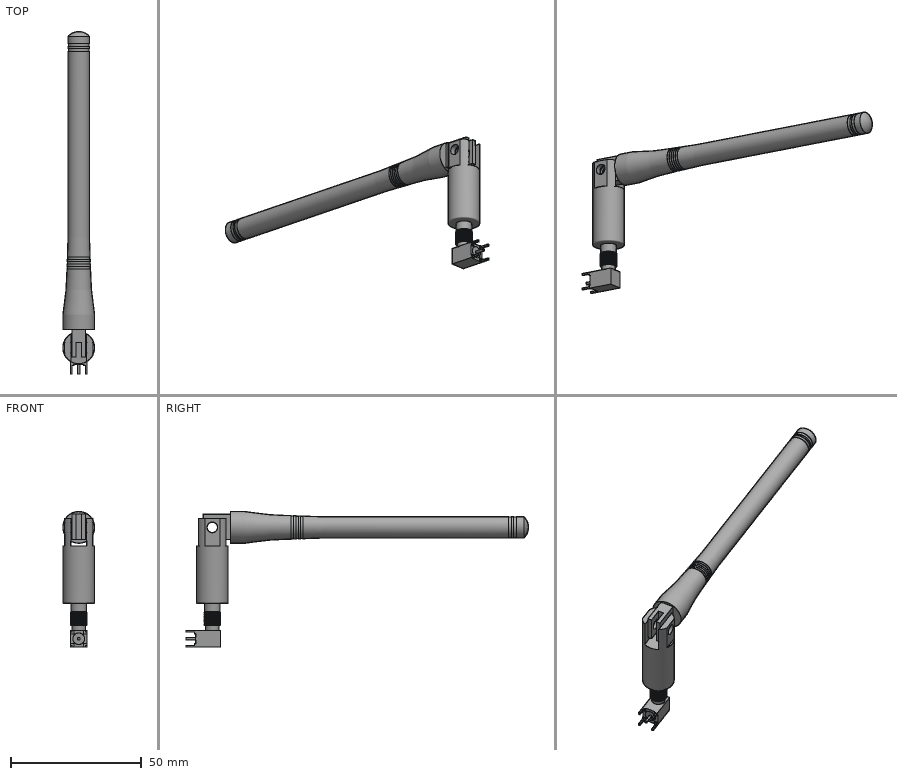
import cadquery as cq
import math


OVERALL_LENGTH = 131.0
OVERALL_HEIGHT = 51.9
BODY_DIAMETER = 12.2
BODY_RADIUS = BODY_DIAMETER / 2

PIN_REACH = 10.1
TIP_Y = OVERALL_LENGTH - PIN_REACH
DOME_START_Y = 119.1
TAPER_START_Y = 42.2
GROOVED_TAPER_END_Y = 29.1
SHALLOW_TAPER_END_Y = 22.0
COLLAR_START_Y = 12.6
COLLAR_END_Y = 7.0
ROD_DIAMETER = 8.3
ROD_RADIUS = ROD_DIAMETER / 2
GROOVED_TAPER_END_RADIUS = 4.6
SHALLOW_TAPER_END_DIAMETER = 9.8
SHALLOW_TAPER_END_RADIUS = SHALLOW_TAPER_END_DIAMETER / 2

GROOVE_DEPTH = 0.1
TIP_GROOVE_WIDTH = 1.2
TIP_GROOVE_STARTS = (113.2, 115.2)
TAPER_GROOVE_WIDTH = 0.9
TAPER_GROOVE_STARTS = (30.1, 32.0, 33.8)

TONGUE_WIDTH = 5.2
TONGUE_TOP_Z = 5.1
TONGUE_BOTTOM_Z = -4.7
TONGUE_END_Y = -3.5
TONGUE_SLOT_WIDTH = 2.1
TONGUE_SLOT_END_Y = 2.1
HINGE_HOLE_DIAMETER = 3.9
FORK_GAP = 6.0
FORK_TOP_Z = 3.4
FORK_BOTTOM_Z = -7.1
FLAT_X = 5.4

HOUSING_BOTTOM_Z = -29.1
HOUSING_EDGE_FILLET = 0.4
NECK_RADIUS = 3.0
NECK_BOTTOM_Z = -32.2

BLOCK_SIDE = 6.4
BLOCK_BOTTOM_Z = BODY_RADIUS - OVERALL_HEIGHT
BLOCK_TOP_Z = BLOCK_BOTTOM_Z + BLOCK_SIDE
BLOCK_CENTER_Z = BLOCK_BOTTOM_Z + BLOCK_SIDE / 2
BLOCK_BACK_Y = BLOCK_SIDE / 2
FOOT_END_Y = -6.8
FOOT_HEIGHT = 0.4
FOOT_SIDE = 1.3
BLOCK_FRONT_Y = FOOT_END_Y + FOOT_HEIGHT
LEG_SIDE = 0.7
LEG_OFFSET = BLOCK_SIDE / 2 - LEG_SIDE / 2
THREAD_BOTTOM_Z = -37.5
THREAD_RADIUS = BLOCK_SIDE / 2
THREAD_DEPTH = 0.3
THREAD_COUNT = 8
STEM_RADIUS = 2.6

DISC_RADIUS = 2.2
DISC_THICKNESS = 1.3
CONTACT_PIN_RADIUS = 0.5


def box_between(x_range, y_range, z_range):
    size = [high - low for low, high in (x_range, y_range, z_range)]
    corner = (x_range[0], y_range[0], z_range[0])
    return cq.Workplane("XY").box(*size, centered=False).translate(corner)


def centered_range(width, center=0.0):
    return (center - width / 2, center + width / 2)


def cylinder_z(radius, bottom, top):
    return cq.Workplane("XY").workplane(offset=bottom).circle(radius).extrude(top - bottom)


def cylinder_toward_minus_y(radius, start_y, end_y, center_z):
    """Cylinder along Y from start_y down to end_y."""
    plane = cq.Workplane("XZ", origin=(0, start_y, center_z))
    return plane.circle(radius).extrude(start_y - end_y)


def hinge_hole():
    return cq.Workplane("YZ").circle(HINGE_HOLE_DIAMETER / 2).extrude(BODY_RADIUS, both=True)


def taper_radius(y):
    """Radius of the grooved taper at distance y from the hinge axis."""
    fraction = (TAPER_START_Y - y) / (TAPER_START_Y - GROOVED_TAPER_END_Y)
    return ROD_RADIUS + fraction * (GROOVED_TAPER_END_RADIUS - ROD_RADIUS)


def groove_ring(start_y, end_y, start_radius, end_radius):
    """Ring that cuts GROOVE_DEPTH below a surface running from start_radius to end_radius."""
    profile = (
        cq.Workplane("XY")
        .moveTo(start_radius - GROOVE_DEPTH, start_y)
        .lineTo(end_radius - GROOVE_DEPTH, end_y)
        .lineTo(BODY_RADIUS, end_y)
        .lineTo(BODY_RADIUS, start_y)
        .close()
    )
    return profile.revolve(360, (0, 0, 0), (0, 1, 0))


def make_whip():
    dome_height = TIP_Y - DOME_START_Y
    dome_radius = (ROD_RADIUS**2 + dome_height**2) / (2 * dome_height)
    half_angle = math.asin(ROD_RADIUS / dome_radius) / 2
    dome_center_y = TIP_Y - dome_radius
    dome_middle = (dome_radius * math.sin(half_angle), dome_center_y + dome_radius * math.cos(half_angle))
    whip = (
        cq.Workplane("XY")
        .moveTo(0, COLLAR_END_Y)
        .lineTo(BODY_RADIUS, COLLAR_END_Y)
        .lineTo(BODY_RADIUS, COLLAR_START_Y)
        .lineTo(SHALLOW_TAPER_END_RADIUS, SHALLOW_TAPER_END_Y)
        .lineTo(GROOVED_TAPER_END_RADIUS, GROOVED_TAPER_END_Y)
        .lineTo(ROD_RADIUS, TAPER_START_Y)
        .lineTo(ROD_RADIUS, DOME_START_Y)
        .threePointArc(dome_middle, (0, TIP_Y))
        .close()
        .revolve(360, (0, 0, 0), (0, 1, 0))
    )
    for start in TIP_GROOVE_STARTS:
        whip = whip.cut(groove_ring(start, start + TIP_GROOVE_WIDTH, ROD_RADIUS, ROD_RADIUS))
    for start in TAPER_GROOVE_STARTS:
        end = start + TAPER_GROOVE_WIDTH
        whip = whip.cut(groove_ring(start, end, taper_radius(start), taper_radius(end)))
    return whip


def make_tongue():
    """Slotted hinge tongue, open toward -Y."""
    z_range = (TONGUE_BOTTOM_Z, TONGUE_TOP_Z)
    tongue = box_between(centered_range(TONGUE_WIDTH), (TONGUE_END_Y, COLLAR_START_Y), z_range)
    slot = box_between(centered_range(TONGUE_SLOT_WIDTH), (TONGUE_END_Y, TONGUE_SLOT_END_Y), z_range)
    return tongue.cut(slot).cut(hinge_hole())


def make_antenna():
    return make_whip().union(make_tongue())


def make_housing():
    barrel = cylinder_z(BODY_RADIUS, HOUSING_BOTTOM_Z, FORK_TOP_Z)
    barrel = barrel.faces("<Z").edges().fillet(HOUSING_EDGE_FILLET)
    fork_z = (FORK_BOTTOM_Z, FORK_TOP_Z)
    full_y = centered_range(2 * BODY_RADIUS)
    gap = box_between(centered_range(FORK_GAP), full_y, fork_z)
    housing = barrel.cut(gap).cut(hinge_hole())
    for x_range in ((FLAT_X, BODY_RADIUS), (-BODY_RADIUS, -FLAT_X)):
        housing = housing.cut(box_between(x_range, full_y, fork_z))
    return housing.union(cylinder_z(NECK_RADIUS, NECK_BOTTOM_Z, HOUSING_BOTTOM_Z))


def make_threaded_stem():
    """Stem with flat-topped thread ridges above a plain shank."""
    pitch = (NECK_BOTTOM_Z - THREAD_BOTTOM_Z) / THREAD_COUNT
    flank_height = pitch / 4
    crest_height = pitch / 4
    root_radius = THREAD_RADIUS - THREAD_DEPTH
    profile = (
        cq.Workplane("XZ")
        .moveTo(0, BLOCK_TOP_Z)
        .lineTo(STEM_RADIUS, BLOCK_TOP_Z)
        .lineTo(STEM_RADIUS, THREAD_BOTTOM_Z)
        .lineTo(root_radius, THREAD_BOTTOM_Z)
    )
    for index in range(THREAD_COUNT):
        ridge_bottom = THREAD_BOTTOM_Z + index * pitch
        profile = profile.lineTo(THREAD_RADIUS, ridge_bottom + flank_height)
        profile = profile.lineTo(THREAD_RADIUS, ridge_bottom + flank_height + crest_height)
        profile = profile.lineTo(root_radius, ridge_bottom + 2 * flank_height + crest_height)
        profile = profile.lineTo(root_radius, ridge_bottom + pitch)
    return profile.lineTo(0, NECK_BOTTOM_Z).close().revolve(360, (0, 0, 0), (0, 1, 0))


def make_corner_leg(x_side, z_side):
    """Square standoff foot in one corner of the block, with its solder leg."""
    foot_offset = BLOCK_SIDE / 2 - FOOT_SIDE / 2
    foot = box_between(
        centered_range(FOOT_SIDE, x_side * foot_offset),
        (FOOT_END_Y, BLOCK_FRONT_Y),
        centered_range(FOOT_SIDE, BLOCK_CENTER_Z + z_side * foot_offset),
    )
    leg = box_between(
        centered_range(LEG_SIDE, x_side * LEG_OFFSET),
        (-PIN_REACH, BLOCK_FRONT_Y),
        centered_range(LEG_SIDE, BLOCK_CENTER_Z + z_side * LEG_OFFSET),
    )
    return foot.union(leg)


def make_jack():
    jack = box_between(
        centered_range(BLOCK_SIDE),
        (BLOCK_FRONT_Y, BLOCK_BACK_Y),
        (BLOCK_BOTTOM_Z, BLOCK_TOP_Z),
    )
    jack = jack.union(make_threaded_stem())
    for x_side in (-1, 1):
        for z_side in (-1, 1):
            jack = jack.union(make_corner_leg(x_side, z_side))
    return jack.cut(make_disc())


def make_disc():
    """Insulating disc, flush with the front of the block."""
    return cylinder_toward_minus_y(DISC_RADIUS, BLOCK_FRONT_Y + DISC_THICKNESS, BLOCK_FRONT_Y, BLOCK_CENTER_Z)


def make_contact():
    pin = cylinder_toward_minus_y(CONTACT_PIN_RADIUS, BLOCK_FRONT_Y, -PIN_REACH, BLOCK_CENTER_Z)
    return make_disc().union(pin)


antenna = make_antenna()
housing = make_housing()
jack = make_jack()
contact = make_contact()

result = cq.Compound.makeCompound([antenna.val(), housing.val(), jack.val(), contact.val()])